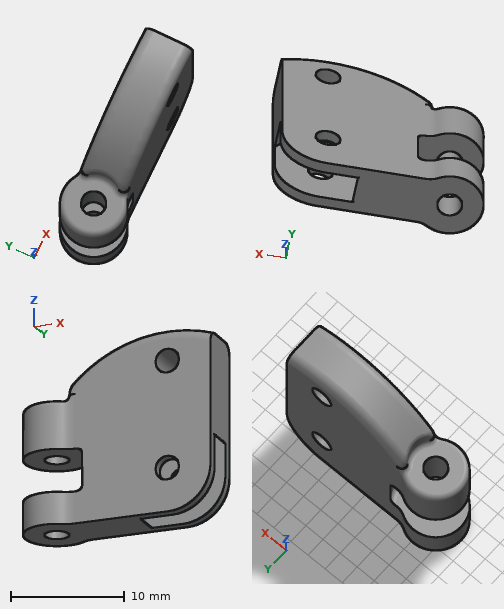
import cadquery as cq
import math

LENGTH = 18.45
BARREL_DIAMETER = 6.0
BARREL_RADIUS = BARREL_DIAMETER / 2
BARREL_TOP = 11.6
PIN_X = BARREL_RADIUS
PLATE_THICKNESS = 4.6
HALF_THICKNESS = PLATE_THICKNESS / 2
HOLE_DIAMETER = 2.2

HOLE_X = 14.35
LOWER_HOLE_Z = 4.1
UPPER_HOLE_Z = 14.1
CROWN_RADIUS = 13.0
CROWN_ROUND = 1.0
CORNER_RADIUS = 4.0

CHEEK_THICKNESS = 1.0
LUG_SLOT_WIDTH = PLATE_THICKNESS - 2 * CHEEK_THICKNESS
LUG_SLOT_RADIUS = 5.0

SLOT_BOTTOM = 3.0
SLOT_TOP = 7.0
SLOT_RADIUS = 4.0
RELIEF_RADIUS = 2.49
NECK_RADIUS = 2.0
EDGE_ROUND = 0.5
OVERCUT = 1.85


def crown_z(x):
    return LOWER_HOLE_Z + math.sqrt(CROWN_RADIUS**2 - (x - HOLE_X) ** 2)


def pin_cylinder(radius, bottom, top):
    return cq.Workplane("XY", origin=(PIN_X, 0, bottom)).circle(radius).extrude(top - bottom)


def box_selector(x_min, x_max, z_min):
    """Select whatever is centred between two X positions and above z_min."""
    return cq.selectors.BoxSelector((x_min, -LENGTH, z_min), (x_max, LENGTH, LENGTH))


def make_plate():
    """Plate with a rounded crown, its pin side hollowed by the relief and rounded."""
    plate = (
        cq.Workplane("XZ")
        .moveTo(PIN_X, 0)
        .lineTo(LENGTH - CORNER_RADIUS, 0)
        .radiusArc((LENGTH, CORNER_RADIUS), -CORNER_RADIUS)
        .lineTo(LENGTH, crown_z(LENGTH))
        .threePointArc((HOLE_X, crown_z(HOLE_X)), (PIN_X, crown_z(PIN_X)))
        .close()
        .extrude(HALF_THICKNESS, both=True)
    )
    crown_edges = plate.edges("%CIRCLE").edges(box_selector(PIN_X, LENGTH, LENGTH / 2))
    plate = crown_edges.fillet(CROWN_ROUND)
    plate = plate.cut(pin_cylinder(RELIEF_RADIUS, -OVERCUT, LENGTH))
    relief_wall = plate.faces("%CYLINDER").faces(box_selector(PIN_X, PIN_X + RELIEF_RADIUS, 0))
    rim = relief_wall.edges(box_selector(PIN_X, LENGTH, EDGE_ROUND))
    return rim.fillet(EDGE_ROUND)


def make_knuckle_blank(height):
    """Barrel joined to a short length of plate by two concave necks."""
    neck_y = HALF_THICKNESS + NECK_RADIUS
    neck_distance = BARREL_RADIUS + NECK_RADIUS
    neck_x = math.sqrt(neck_distance**2 - neck_y**2)
    touch_x = PIN_X + neck_x * BARREL_RADIUS / neck_distance
    touch_y = neck_y * BARREL_RADIUS / neck_distance
    neck_end = PIN_X + neck_x
    blank_end = PIN_X + SLOT_RADIUS
    return (
        cq.Workplane("XY")
        .moveTo(blank_end, -HALF_THICKNESS)
        .lineTo(blank_end, HALF_THICKNESS)
        .lineTo(neck_end, HALF_THICKNESS)
        .radiusArc((touch_x, touch_y), NECK_RADIUS)
        .threePointArc((0, 0), (touch_x, -touch_y))
        .radiusArc((neck_end, -HALF_THICKNESS), NECK_RADIUS)
        .close()
        .extrude(height)
    )


def make_shoulder_cutter():
    """Space above the barrel: follows the relief wall, with a rounded bottom edge."""
    round_y = HALF_THICKNESS - EDGE_ROUND
    round_distance = RELIEF_RADIUS + EDGE_ROUND
    round_x = math.sqrt(round_distance**2 - round_y**2)
    wall_x = round_x * RELIEF_RADIUS / round_distance
    wall_y = round_y * RELIEF_RADIUS / round_distance
    side_x = round_x - EDGE_ROUND
    cutter = (
        cq.Workplane("XY", origin=(PIN_X, 0, BARREL_TOP))
        .moveTo(-LENGTH, -LENGTH)
        .lineTo(side_x, -LENGTH)
        .lineTo(side_x, -round_y)
        .radiusArc((wall_x, -wall_y), EDGE_ROUND)
        .threePointArc((RELIEF_RADIUS, 0), (wall_x, wall_y))
        .radiusArc((side_x, round_y), EDGE_ROUND)
        .lineTo(side_x, LENGTH)
        .lineTo(-LENGTH, LENGTH)
        .close()
        .extrude(LENGTH)
    )
    wall_edges = cutter.faces("<Z").edges(box_selector(PIN_X, LENGTH, 0))
    return wall_edges.fillet(EDGE_ROUND)


def make_knuckle():
    """Knuckle whose rounded rim climbs the blend between barrel top and plate."""
    knuckle = make_knuckle_blank(LENGTH).cut(make_shoulder_cutter())
    barrel_rim = knuckle.edges("%CIRCLE").edges(box_selector(0, PIN_X, OVERCUT))
    knuckle = barrel_rim.fillet(EDGE_ROUND)
    blend_top = BARREL_TOP + EDGE_ROUND
    return knuckle.intersect(make_knuckle_blank(blend_top))


def make_slot():
    """Gap between the two knuckles, with rounded inner corners."""
    return pin_cylinder(SLOT_RADIUS, SLOT_BOTTOM, SLOT_TOP).edges().fillet(EDGE_ROUND)


def make_mounting_holes():
    return (
        cq.Workplane("XZ")
        .pushPoints([(HOLE_X, LOWER_HOLE_Z), (HOLE_X, UPPER_HOLE_Z)])
        .circle(HOLE_DIAMETER / 2)
        .extrude(PLATE_THICKNESS, both=True)
    )


def make_lug_slot():
    """Round slot centred on the lower mounting hole, open at the plate corner."""
    return (
        cq.Workplane("XZ")
        .center(HOLE_X, LOWER_HOLE_Z)
        .circle(LUG_SLOT_RADIUS)
        .extrude(LUG_SLOT_WIDTH / 2, both=True)
    )


result = (
    make_plate()
    .union(make_knuckle())
    .cut(make_slot())
    .cut(pin_cylinder(HOLE_DIAMETER / 2, -OVERCUT, BARREL_TOP + OVERCUT))
    .cut(make_mounting_holes())
    .cut(make_lug_slot())
)